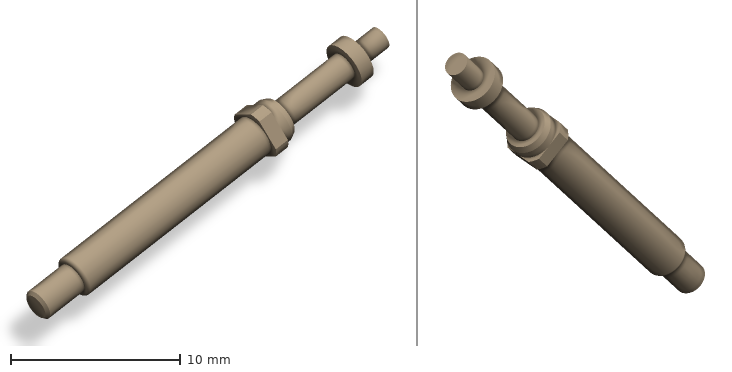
import cadquery as cq

TOTAL_LENGTH = 28.3
TAIL_LENGTH = 3.0
BARREL_LENGTH = 15.0
NUT_LENGTH = 1.0
SLEEVE_LENGTH = 1.0
COLLAR_LENGTH = 1.0
TIP_LENGTH = 2.0

TAIL_DIAMETER = 2.0
BARREL_DIAMETER = 2.7
SLEEVE_DIAMETER = 3.0
ROD_DIAMETER = 1.8
COLLAR_DIAMETER = 3.0
TIP_DIAMETER = 1.5

NUT_ACROSS_CORNERS = 3.6
NUT_ACROSS_FLATS = 3.0

TAIL_CHAMFER = 0.2
BARREL_FILLET = 0.212
SLEEVE_TAPER_LENGTH = 0.4
SLEEVE_TAPER_DEPTH = 0.185

tail_start = -TOTAL_LENGTH / 2
barrel_start = tail_start + TAIL_LENGTH
nut_start = barrel_start + BARREL_LENGTH
sleeve_start = nut_start + NUT_LENGTH
rod_start = sleeve_start + SLEEVE_LENGTH
tip_start = TOTAL_LENGTH / 2 - TIP_LENGTH
collar_start = tip_start - COLLAR_LENGTH
rod_length = collar_start - rod_start


def workplane_at(y):
    """Workplane across the axis at the given Y, facing +Y."""
    return cq.Workplane(cq.Plane(origin=(0, y, 0), xDir=(1, 0, 0), normal=(0, 1, 0)))


def cylinder(start, length, diameter):
    """Cylinder along Y that begins at the given position."""
    return workplane_at(start).circle(diameter / 2).extrude(length)


def make_sleeve():
    """Short sleeve with a shallow taper at its front end."""
    sleeve = cylinder(sleeve_start, SLEEVE_LENGTH, SLEEVE_DIAMETER)
    return sleeve.faces(">Y").chamfer(SLEEVE_TAPER_LENGTH, SLEEVE_TAPER_DEPTH)


def make_nut():
    """Square nut turned by 45 degrees, its corners trimmed to a circle."""
    square = workplane_at(nut_start).transformed(rotate=(0, 0, 45))
    square = square.rect(NUT_ACROSS_FLATS, NUT_ACROSS_FLATS).extrude(NUT_LENGTH)
    return square.intersect(cylinder(nut_start, NUT_LENGTH, NUT_ACROSS_CORNERS))


tail = cylinder(tail_start, TAIL_LENGTH, TAIL_DIAMETER)
tail = tail.faces("<Y").chamfer(TAIL_CHAMFER)

barrel = cylinder(barrel_start, BARREL_LENGTH, BARREL_DIAMETER)
barrel = barrel.faces("<Y").edges().fillet(BARREL_FILLET)

rod = cylinder(rod_start, rod_length, ROD_DIAMETER)
collar = cylinder(collar_start, COLLAR_LENGTH, COLLAR_DIAMETER)
tip = cylinder(tip_start, TIP_LENGTH, TIP_DIAMETER)

result = tail
for section in (barrel, make_nut(), make_sleeve(), rod, collar, tip):
    result = result.union(section)